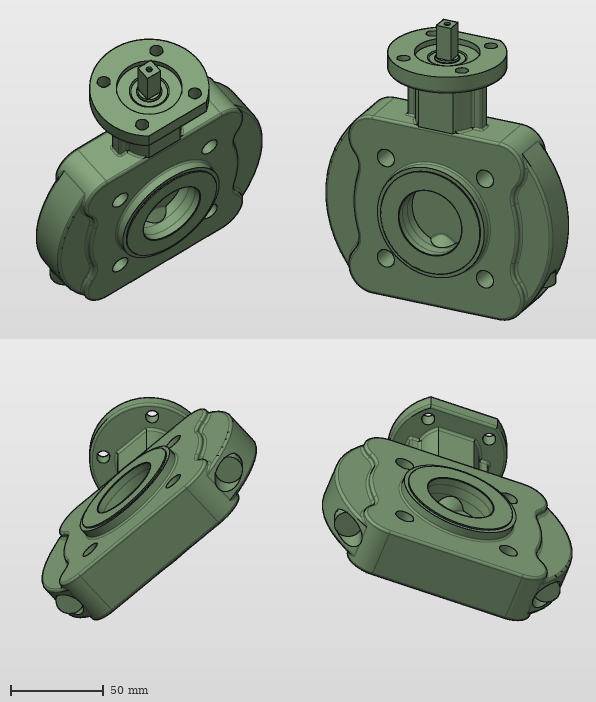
import cadquery as cq
import math


body_half = 53.1
body_half_thickness = 14.5
corner_radius = 14.6
valley_y = 59.5
valley_z = 21.1
belly_y = 50.0
rim_radius = 137.8 / 2
rim_half_thickness = 21.8 / 2
rim_clip_z = 48.3
edge_round = 1.5
foot_round = 1.3
bolt_pitch = 60.1
bolt_diameter = 10.3

seal_radius = 32.5
seal_land_radius = 30.2
seal_shoulder_x = 20.0
seal_face_x = 20.8
seal_foot_round = 1.0

bore_radius = 18.8
bore_mouth_radius = 19.0
bore_mouth_chamfer = 0.3
bore_taper_start_x = 16.4
bore_taper_end_x = 10.8
disc_half_thickness = 4.9
hub_tip_z = 13.3
hub_edge_round = 0.7

boss_radius = 7.5
boss_y = 57.5
boss_top_z = -24.5
boss_bottom_z = -32.0

neck_radius = 17.4
neck_half_depth = 14.0
rib_half_length = 22.6
rib_half_width = 3.5
rib_round = 1.0
rib_root_round = 1.6
neck_foot_round = 1.1
neck_head_round = 1.5

flange_radius = 32.5
flange_flat_x = 26.0
flange_bottom_z = 83.9
flange_top_z = 93.9
flange_edge_round = 1.5
flange_hole_offset = 17.7
flange_hole_diameter = 7.0
recess_radius = 17.9
recess_depth = 3.3

stem_top_z = 110.8
stem_square = 8.9
stem_radius = 6.9
stem_chamfer = 0.7
bushing_radius = 10.0
bushing_chamfer_radius = 10.8
bushing_drop = 0.5
centre_hole_diameter = 2.0
centre_hole_mouth = 3.3
centre_hole_angle = 90
centre_hole_depth = 3.3

overlap = 1.6
tolerance = 0.02


def between(a, b, distance):
    """Point on the line from a to b, at a distance from a."""
    span = math.dist(a, b)
    return tuple(p + (q - p) * distance / span for p, q in zip(a, b))


def slab(outline, half_thickness):
    """Extrude an outline drawn in (Y, Z) symmetrically about X = 0."""
    return outline.extrude(half_thickness, both=True)


def body_plate():
    """Thick plate: square with round corners and wavy sides, all arcs tangent."""
    corner = (body_half - corner_radius, body_half - corner_radius)
    valley = (valley_y, valley_z)
    valley_radius = math.dist(corner, valley) - corner_radius
    reach = valley_y - belly_y
    belly_radius = (reach**2 + valley_z**2 - valley_radius**2) / (2 * (valley_radius - reach))
    belly = (belly_y - belly_radius, 0)

    corner_start = (corner[0], body_half)
    corner_mid = between(corner, (corner[0] + 1.6, corner[1] + 1.6), corner_radius)
    corner_end = between(corner, valley, corner_radius)
    valley_mid = (valley_y - valley_radius, valley_z)
    valley_end = between(belly, valley, belly_radius)

    outline = (
        cq.Workplane("YZ")
        .moveTo(0, body_half)
        .lineTo(*corner_start)
        .threePointArc(corner_mid, corner_end)
        .threePointArc(valley_mid, valley_end)
        .threePointArc((belly_y, 0), (valley_end[0], -valley_end[1]))
        .threePointArc((valley_mid[0], -valley_mid[1]), (corner_end[0], -corner_end[1]))
        .threePointArc((corner_mid[0], -corner_mid[1]), (corner_start[0], -body_half))
        .lineTo(0, -body_half)
        .mirrorY()
    )
    return slab(outline, body_half_thickness).faces("<X or >X").edges().fillet(edge_round)


def rim():
    disc = slab(cq.Workplane("YZ").circle(rim_radius), rim_half_thickness)
    disc = disc.faces("<X or >X").edges().fillet(edge_round)
    clip = cq.Workplane("XY").box(4 * rim_half_thickness, 4 * rim_radius, 2 * rim_clip_z)
    return disc.intersect(clip)


def with_foot_rounds(solid):
    """Round the inside edges between the wavy walls and the rim faces."""
    walls = [
        edge for edge in solid.edges().vals()
        if abs(abs(edge.Center().x) - rim_half_thickness) < tolerance
        and abs(edge.Center().y) < body_half
        and edge.BoundingBox().xlen < tolerance
    ]
    return solid.newObject(walls).fillet(foot_round)


def sealing_face(side):
    """Raised face with a filleted foot and a small step, on one side of the body."""
    foot_x = body_half_thickness
    inner = seal_foot_round * (1 - math.sqrt(0.5))
    profile = (
        cq.Workplane("XY")
        .lineTo(0, seal_radius + seal_foot_round)
        .lineTo(foot_x, seal_radius + seal_foot_round)
        .threePointArc((foot_x + inner, seal_radius + inner), (foot_x + seal_foot_round, seal_radius))
        .lineTo(seal_shoulder_x, seal_radius)
        .lineTo(seal_shoulder_x, seal_land_radius)
        .lineTo(seal_face_x, seal_land_radius)
        .lineTo(seal_face_x, 0)
        .close()
    )
    ring = profile.revolve(360, (0, 0, 0), (1, 0, 0))
    return ring if side > 0 else ring.mirror("YZ")


def bore():
    half_profile = (
        cq.Workplane("XY")
        .lineTo(0, bore_radius)
        .lineTo(bore_taper_end_x, bore_radius)
        .lineTo(bore_taper_start_x, bore_mouth_radius)
        .lineTo(seal_face_x - bore_mouth_chamfer, bore_mouth_radius)
        .lineTo(seal_face_x, bore_mouth_radius + bore_mouth_chamfer)
        .lineTo(seal_face_x, 0)
        .close()
    )
    half = half_profile.revolve(360, (0, 0, 0), (1, 0, 0))
    return half.union(half.mirror("YZ"))


def disc():
    """Closed valve disc with a conical hub at the top and bottom."""
    radius = bore_radius + overlap
    plate = slab(cq.Workplane("YZ").circle(radius), disc_half_thickness)
    cone_radius = disc_half_thickness + radius - hub_tip_z
    cone_profile = (
        cq.Workplane("XZ")
        .moveTo(0, hub_tip_z - disc_half_thickness)
        .lineTo(cone_radius, radius)
        .lineTo(0, radius)
        .close()
    )
    cone = cone_profile.revolve(360, (0, 0, 0), (0, 1, 0))
    solid = plate.union(cone).union(cone.mirror("XY"))
    roots = [edge for edge in solid.edges().vals() if edge.geomType() == "HYPERBOLA"]
    return solid.newObject(roots).fillet(hub_edge_round)


def flange():
    plate = (
        cq.Workplane("XY", origin=(0, 0, flange_bottom_z))
        .circle(flange_radius)
        .extrude(flange_top_z - flange_bottom_z)
    )
    keep = cq.Workplane("XY").box(4 * flange_radius, 4 * flange_radius, 4 * stem_top_z)
    plate = plate.intersect(keep.translate((flange_flat_x - 2 * flange_radius, 0, 0)))
    return plate.faces("<Z").edges().fillet(flange_edge_round)


neck_bottom_z = body_half - 2 * overlap
neck_height = flange_bottom_z + overlap - neck_bottom_z
neck_base = cq.Workplane("XY", origin=(0, 0, neck_bottom_z))


def neck_core():
    """Round column with flat faces at -X and +X."""
    flats = neck_base.rect(2 * neck_half_depth, 4 * neck_radius).extrude(neck_height)
    return neck_base.circle(neck_radius).extrude(neck_height).intersect(flats)


def neck_rib():
    """Rounded bar through the core, standing out as a rib at -Y and +Y."""
    rib = neck_base.rect(2 * rib_half_width, 2 * rib_half_length).extrude(neck_height)
    return rib.edges("|Z").fillet(rib_round)


def neck():
    """Core and rib joined, with rounded rib roots."""
    column = neck_core().union(neck_rib())
    root_y = math.sqrt(neck_radius**2 - rib_half_width**2)
    for side in (-1, 1):
        zone = cq.selectors.BoxSelector(
            (-rib_half_width - tolerance, side * root_y - tolerance, 0),
            (rib_half_width + tolerance, side * root_y + tolerance, stem_top_z))
        column = column.edges("|Z").edges(zone).fillet(rib_root_round)
    return column


def flared(solid, plate, z, radius):
    """Join a neck piece to a plate and round the inside edges at height z."""
    reach = rib_half_length + tolerance
    zone = cq.selectors.BoxSelector(
        (-reach, -reach, z - tolerance), (reach, reach, z + tolerance), boundingbox=True)
    return solid.union(plate).edges(zone).fillet(radius)


def neck_and_flange():
    """Neck with the flange on top, flared where it meets the flange and the body."""
    foot_plate = (
        cq.Workplane("XY", origin=(0, 0, neck_bottom_z))
        .rect(2 * body_half, body_half)
        .extrude(body_half - neck_bottom_z)
    )
    level_half = body_half_thickness - edge_round
    level_zone = cq.Workplane("XY").box(2 * level_half, body_half, 4 * body_half)
    solid = neck().union(flange())
    for piece in (neck_core(), neck_rib()):
        head = flared(piece, flange(), flange_bottom_z, neck_head_round)
        foot = flared(piece, foot_plate, body_half, neck_foot_round)
        solid = solid.union(head).union(foot.intersect(level_zone))
    return solid


def screw_bosses(solid):
    """Half-round bosses on the rim, each above a round notch for a screw."""
    for side in (-1, 1):
        boss = (
            cq.Workplane("XY", origin=(0, side * boss_y, boss_bottom_z))
            .circle(boss_radius)
            .extrude(boss_top_z - boss_bottom_z)
        )
        notch = (
            cq.Workplane("XY", origin=(0, side * boss_y, -body_half))
            .circle(boss_radius)
            .extrude(body_half + boss_bottom_z)
        )
        solid = solid.union(boss).cut(notch)
    return solid


def bolt_holes():
    holes = cq.Workplane("YZ").rect(bolt_pitch, bolt_pitch, forConstruction=True).vertices()
    return slab(holes.circle(bolt_diameter / 2), body_half)


def flange_holes():
    pitch = 2 * flange_hole_offset
    return (
        cq.Workplane("XY", origin=(0, 0, flange_bottom_z - overlap))
        .rect(pitch, pitch, forConstruction=True)
        .vertices()
        .circle(flange_hole_diameter / 2)
        .extrude(flange_top_z - flange_bottom_z + 2 * overlap)
    )


def flange_recess():
    """Round recess in the flange top, with a chamfered dip down to the bushing."""
    floor_z = flange_top_z - recess_depth
    profile = (
        cq.Workplane("XZ")
        .moveTo(0, floor_z - bushing_drop)
        .lineTo(bushing_radius, floor_z - bushing_drop)
        .lineTo(bushing_chamfer_radius, floor_z)
        .lineTo(recess_radius, floor_z)
        .lineTo(recess_radius, flange_top_z)
        .lineTo(0, flange_top_z)
        .close()
    )
    return profile.revolve(360, (0, 0, 0), (0, 1, 0))


def stem():
    """Round stem end with a square drive and a centre hole in its top."""
    base_z = flange_top_z - recess_depth - overlap
    shoulder_z = flange_top_z - recess_depth + stem_chamfer
    shaft = (
        cq.Workplane("XY", origin=(0, 0, base_z))
        .circle(stem_radius)
        .extrude(shoulder_z - base_z)
        .faces(">Z")
        .chamfer(stem_chamfer)
    )
    square = (
        cq.Workplane("XY", origin=(0, 0, base_z))
        .rect(stem_square, stem_square)
        .extrude(stem_top_z - base_z)
    )
    return shaft.union(square).faces(">Z").workplane().cskHole(
        centre_hole_diameter, centre_hole_mouth, centre_hole_angle, centre_hole_depth)


result = with_foot_rounds(body_plate().union(rim()))
result = screw_bosses(result)
result = result.union(neck_and_flange())
result = result.union(sealing_face(-1)).union(sealing_face(1))
result = result.cut(bolt_holes()).cut(bore()).union(disc())
result = result.cut(flange_holes()).cut(flange_recess()).union(stem())